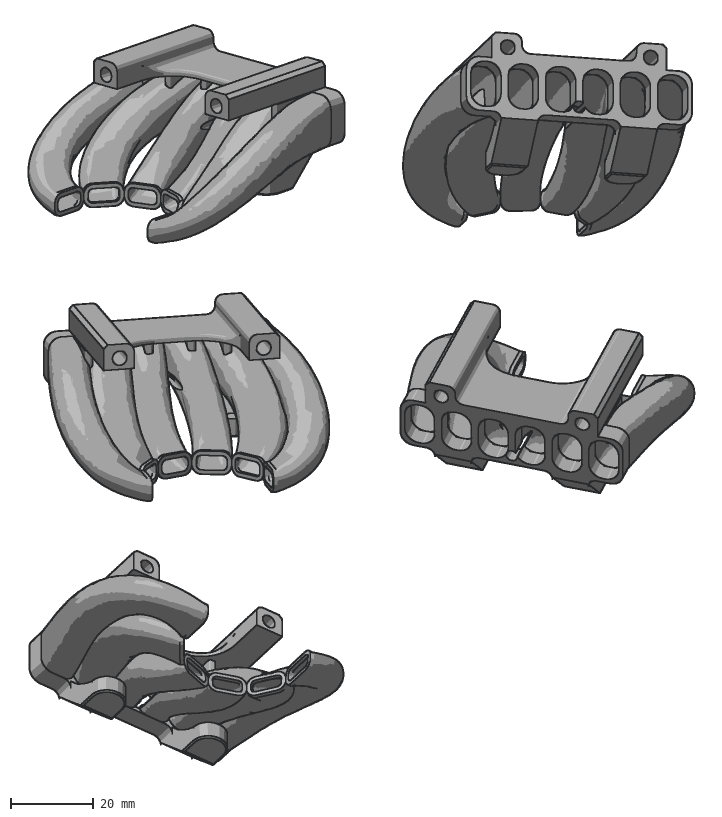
import cadquery as cq
import math


side_signs = (-1, 1)

rail_spacing = 36.0
rail_outer_reach = 4.0
rail_inner_reach = 3.6
rail_height = 6.4
rail_length = 35.0
rail_bore_diameter = 3.6
rail_bore_height = 2.85
rail_chamfer = 1.0
rail_round = 2.0

plate_thickness = 1.6
plate_depth = 15.9
plate_flat_half_width = 4.5
plate_fillet = 2.1
plate_edge_round = 0.9
selection_margin = 0.1

flange_half_width = 28.4
flange_height = 13.5
flange_depth = 5.0
flange_round = 3.3
flange_hole_diameter = 2.9
flange_hole_drop = 10.85

rib_width = 2.0
rib_round = 0.7
rib_pitch = 8.0
first_rib_x = 5.35
rib_fronts = (14.0, 18.0, 18.0)
rib_drop = 6.0

bracket_center_x = 15.0
bracket_width = 9.2
bracket_bottom = 24.4
bracket_front = 18.2
bracket_front_round = 4.5
bracket_back_height = 15.0
bracket_pad_height = 4.7
bracket_arch_point = (-9.0, -17.2)
bracket_fillet = 2.1
bracket_edge_chamfer = 0.4

duct_wall = 1.1
duct_root_overlap = 0.4
duct_station_count = 5
duct_root_round = 3.3
duct_mid_round_gain = 1.6
nozzle_round = 2.4
nozzle_height = 5.9
nozzle_bottom = 27.75
lip_length = 1.0
root_opening_round = 3.5
screw_clearance_diameter = 3.2

rail_x = rail_spacing / 2
rail_inner_x = rail_x - rail_inner_reach
rail_outer_x = rail_x + rail_outer_reach
duct_root_pitch = (flange_half_width - duct_root_overlap / 2) / 3
duct_root_width = duct_root_pitch + duct_root_overlap
duct_root_z = -flange_height / 2
nozzle_z = nozzle_height / 2 - nozzle_bottom

nozzle_tip = (0.0, -35.1)
nozzle_inner_corner = (9.2, -38.2)
nozzle_outer_corner = (15.1, -46.3)
nozzle_end = (15.1, -56.8)
nozzle_row = (nozzle_tip, nozzle_inner_corner, nozzle_outer_corner, nozzle_end)

duct_bends = (
    dict(sideways=0.5, forward=9.0, down=0.5, run=11.5, rise=4.5, bulge=-0.3, waist=1.0),
    dict(sideways=2.0, forward=14.0, down=0.0, run=13.0, rise=9.0, bulge=2.5, waist=0.0),
    dict(sideways=4.7, forward=21.0, down=-1.5, run=17.5, rise=6.5, bulge=0.0, waist=0.0),
)


def mirrored_pair(shape):
    return shape.union(shape.mirror("YZ"))


def make_rail():
    """One rail bar on the +X side, with its rounded and chamfered top edges."""
    rail = (
        cq.Workplane("XY")
        .box(rail_outer_x - rail_inner_x, rail_length, rail_height, centered=False)
        .translate((rail_inner_x, -rail_length, 0))
    )
    rail = rail.edges("|Y and >Z and >X").chamfer(rail_chamfer)
    return rail.edges("|Y and >Z and <X").fillet(rail_round)


def make_rail_bore():
    return (
        cq.Workplane("XZ")
        .center(rail_x, rail_bore_height)
        .circle(rail_bore_diameter / 2)
        .extrude(rail_length)
    )


def plate_plan():
    """Plan outline of the plate: a straight front edge that curves forward into each rail."""
    corner_radius = rail_inner_x - plate_flat_half_width
    corner_y = -plate_depth - corner_radius
    mid_x = plate_flat_half_width + corner_radius * math.sin(math.pi / 4)
    mid_y = corner_y + corner_radius * math.cos(math.pi / 4)
    return (
        cq.Workplane("XY")
        .moveTo(-rail_inner_x, 0)
        .lineTo(rail_inner_x, 0)
        .lineTo(rail_inner_x, corner_y)
        .threePointArc((mid_x, mid_y), (plate_flat_half_width, -plate_depth))
        .lineTo(-plate_flat_half_width, -plate_depth)
        .threePointArc((-mid_x, mid_y), (-rail_inner_x, corner_y))
        .close()
    )


def make_plate():
    """Plate with concave fillets that rise along both rails, trimmed to the plan outline."""
    fillet_top = plate_thickness + plate_fillet
    fillet_start_x = rail_inner_x - plate_fillet
    arc_offset = plate_fillet * (1 - math.cos(math.pi / 4))
    arc_x = rail_inner_x - arc_offset
    arc_z = plate_thickness + arc_offset
    section = (
        cq.Workplane("XZ")
        .moveTo(-rail_inner_x, 0)
        .lineTo(rail_inner_x, 0)
        .lineTo(rail_inner_x, fillet_top)
        .threePointArc((arc_x, arc_z), (fillet_start_x, plate_thickness))
        .lineTo(-fillet_start_x, plate_thickness)
        .threePointArc((-arc_x, arc_z), (-rail_inner_x, fillet_top))
        .close()
        .extrude(rail_length)
    )
    plate = section.intersect(plate_plan().extrude(fillet_top))
    front_edge = cq.selectors.BoxSelector(
        (-selection_margin, -plate_depth - selection_margin, plate_thickness - selection_margin),
        (selection_margin, -plate_depth + selection_margin, plate_thickness + selection_margin),
    )
    return plate.edges(front_edge).fillet(plate_edge_round)


def make_flange():
    flange = (
        cq.Workplane("XY")
        .box(2 * flange_half_width, flange_depth, flange_height)
        .translate((0, -flange_depth / 2, -flange_height / 2))
    )
    return flange.edges("|Y").fillet(flange_round)


def make_rib(index):
    """Upright rib on the +X side; its lower end is trimmed by the duct it stands on."""
    length = rib_fronts[index] - flange_depth
    rib = (
        cq.Workplane("XY")
        .box(rib_width, length, rib_drop)
        .edges("|Z and <Y")
        .fillet(rib_round)
    )
    rib_x = first_rib_x + index * rib_pitch
    return rib.translate((rib_x, -flange_depth - length / 2, -rib_drop / 2))


def make_bracket():
    """Arm that hangs below the flange on the +X side and ends in a rounded pad."""
    slope_run = bracket_bottom - bracket_back_height
    pad_top = -bracket_bottom + bracket_pad_height
    pad_back = -bracket_front + bracket_front_round
    arm = (
        cq.Workplane("YZ", origin=(bracket_center_x - bracket_width / 2, 0, 0))
        .moveTo(0, -flange_height)
        .lineTo(0, -bracket_back_height)
        .lineTo(-slope_run, -bracket_bottom)
        .lineTo(-bracket_front, -bracket_bottom)
        .lineTo(-bracket_front, pad_top)
        .lineTo(pad_back, pad_top)
        .threePointArc(bracket_arch_point, (-flange_depth, -flange_height))
        .close()
        .extrude(bracket_width)
    )
    arm = arm.edges("|Z and <Y").fillet(bracket_front_round)
    return arm.faces("<Z").edges().chamfer(bracket_edge_chamfer)


def make_bracket_fillets():
    """Concave fillets from the sides of the bracket to the flange underside, along Y."""
    blend = None
    for sign in side_signs:
        wall_x = bracket_center_x + sign * bracket_width / 2
        outer_x = wall_x + sign * bracket_fillet
        arc_offset = bracket_fillet * (1 - math.cos(math.pi / 4))
        piece = (
            cq.Workplane("XZ")
            .moveTo(wall_x, -flange_height)
            .lineTo(outer_x, -flange_height)
            .threePointArc(
                (wall_x + sign * arc_offset, -flange_height - arc_offset),
                (wall_x, -flange_height - bracket_fillet),
            )
            .close()
            .extrude(flange_depth)
        )
        blend = piece if blend is None else blend.union(piece)
    return blend


def bezier(points, t):
    """Point on a cubic Bezier curve."""
    weights = ((1 - t) ** 3, 3 * t * (1 - t) ** 2, 3 * t**2 * (1 - t), t**3)
    return sum((p * w for p, w in zip(points, weights)), cq.Vector())


def bezier_direction(points, t):
    """Unit tangent of a cubic Bezier curve."""
    weights = ((1 - t) ** 2, 2 * t * (1 - t), t**2)
    steps = [b - a for a, b in zip(points, points[1:])]
    return sum((s * w for s, w in zip(steps, weights)), cq.Vector()).normalized()


def rounded_section(center, normal, width, height, radius):
    """Rounded rectangle across a duct, with its width kept horizontal."""
    across = normal.cross(cq.Vector(0, 0, 1))
    plane = cq.Plane(origin=center, xDir=across, normal=normal)
    x, y = width / 2, height / 2
    c = radius * (1 - math.cos(math.pi / 4))
    return (
        cq.Workplane(plane)
        .moveTo(-x + radius, -y)
        .lineTo(x - radius, -y)
        .threePointArc((x - c, -y + c), (x, -y + radius))
        .lineTo(x, y - radius)
        .threePointArc((x - c, y - c), (x - radius, y))
        .lineTo(-x + radius, y)
        .threePointArc((-x + c, y - c), (-x, y - radius))
        .lineTo(-x, -y + radius)
        .threePointArc((-x + c, -y + c), (-x + radius, -y))
        .close()
    )


def make_duct_volume(index, inset):
    """Filled volume of one +X duct, shrunk by inset, from the flange face to its nozzle."""
    bend = duct_bends[index]
    start, end = nozzle_row[index], nozzle_row[index + 1]
    nozzle_width = math.dist(start, end)
    heading = cq.Vector(end[1] - start[1], start[0] - end[0], 0).normalized()
    face = cq.Vector((start[0] + end[0]) / 2, (start[1] + end[1]) / 2, nozzle_z)
    lip_start = face - heading * lip_length

    root = cq.Vector((index + 0.5) * duct_root_pitch, -flange_depth, duct_root_z)
    start_handle = root + cq.Vector(bend["sideways"], -bend["forward"], -bend["down"])
    end_handle = lip_start - heading * bend["run"] + cq.Vector(0, 0, bend["rise"])
    path = (root, start_handle, end_handle, lip_start)

    wires = []
    for station in range(duct_station_count):
        t = station / (duct_station_count - 1)
        middle = 4 * t * (1 - t)
        width = duct_root_width + (nozzle_width - duct_root_width) * t + bend["bulge"] * middle
        height = flange_height + (nozzle_height - flange_height) * t + bend["waist"] * middle
        radius = duct_root_round + (nozzle_round - duct_root_round) * t
        radius += duct_mid_round_gain * middle
        direction = bezier_direction(path, t)
        if station == 0:
            direction = cq.Vector(0, -1, 0)
        normal = cq.Vector(direction.x, direction.y, direction.z * (1 - t**3)).normalized()
        section = rounded_section(
            bezier(path, t), normal, width - 2 * inset, height - 2 * inset, radius - inset
        )
        wires.append(section.val())
    body = cq.Workplane(obj=cq.Solid.makeLoft(wires))
    lip = rounded_section(
        lip_start,
        heading,
        nozzle_width - 2 * inset,
        nozzle_height - 2 * inset,
        nozzle_round - inset,
    ).extrude(lip_length)
    return body.union(lip)


def make_root_opening(index):
    """Air passage through the flange behind one +X duct."""
    root = cq.Vector((index + 0.5) * duct_root_pitch, 0, duct_root_z)
    return rounded_section(
        root,
        cq.Vector(0, -1, 0),
        duct_root_width - 2 * duct_wall,
        flange_height - 2 * duct_wall,
        root_opening_round,
    ).extrude(flange_depth)


def make_screw_path(diameter):
    return (
        cq.Workplane("XZ")
        .center(0, -flange_hole_drop)
        .circle(diameter / 2)
        .extrude(rail_length)
    )


inner_index, middle_index, outer_index = range(len(duct_bends))
filled_ducts = [make_duct_volume(i, 0) for i in range(len(duct_bends))]
cavities = [make_duct_volume(i, duct_wall) for i in range(len(duct_bends))]


def make_frame():
    """Rails, plate, flange, ribs and brackets in one piece."""
    half = make_rail().union(make_bracket()).union(make_bracket_fillets())
    for index in range(len(duct_bends)):
        half = half.union(make_rib(index))
    for duct in filled_ducts:
        half = half.cut(duct)
    half = half.cut(make_rail_bore())
    body = make_flange().union(make_plate()).union(mirrored_pair(half))
    for index in range(len(duct_bends)):
        body = body.cut(mirrored_pair(make_root_opening(index)))
    return body.cut(make_screw_path(flange_hole_diameter))


def make_inner_ducts():
    """The four ducts nearest the middle, joined where they leave the flange."""
    half = filled_ducts[inner_index].union(filled_ducts[middle_index])
    half = half.cut(cavities[inner_index]).cut(cavities[middle_index])
    half = half.cut(make_screw_path(screw_clearance_diameter))
    return mirrored_pair(half)


def make_outer_duct(sign):
    """One outermost duct, trimmed against its neighbour; sign picks the side."""
    duct = filled_ducts[outer_index].cut(filled_ducts[middle_index]).cut(cavities[outer_index])
    return duct if sign > 0 else duct.mirror("YZ")


frame = make_frame()
inner_ducts = make_inner_ducts()
outer_ducts = [make_outer_duct(sign) for sign in side_signs]

solids = [frame.solids().val(), inner_ducts.solids().val()]
solids += [duct.solids().val() for duct in outer_ducts]
result = cq.Compound.makeCompound(solids)